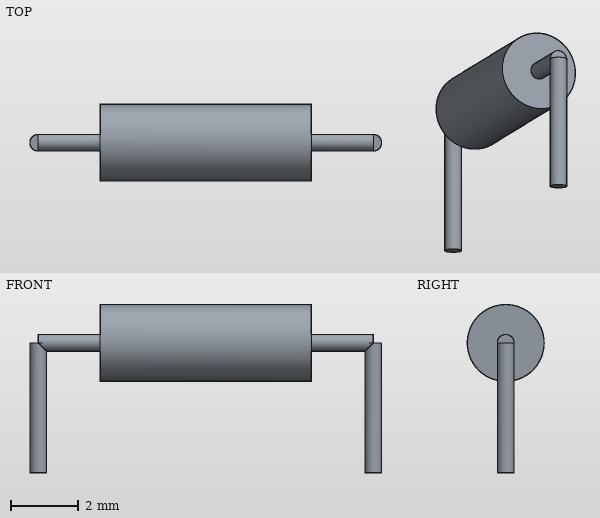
import cadquery as cq

overall_length = 10.5
overall_height = 5.03
housing_diameter = 2.3
housing_length = 6.3
wire_diameter = 0.5

leg_offset = (overall_length - wire_diameter) / 2
leg_length = overall_height - housing_diameter / 2
housing_end = housing_length / 2
lead_length = leg_offset - housing_end


def make_housing():
    """Cylindrical housing along X."""
    return (
        cq.Workplane("YZ")
        .workplane(offset=-housing_end)
        .circle(housing_diameter / 2)
        .extrude(housing_length)
    )


def make_leg(side):
    """Vertical wire whose flat top lies at the height of the housing axis."""
    return (
        cq.Workplane("XY")
        .center(side * leg_offset, 0)
        .circle(wire_diameter / 2)
        .extrude(-leg_length)
    )


def make_lead(side, leg):
    """Horizontal wire from the housing end to the leg axis, notched to seat on the leg."""
    wire = (
        cq.Workplane("YZ")
        .workplane(offset=side * housing_end)
        .circle(wire_diameter / 2)
        .extrude(side * lead_length)
    )
    return wire.cut(leg)


housing = make_housing()
legs = []
leads = []
for side in (-1, 1):
    leg = make_leg(side)
    legs.append(leg.val())
    leads.append(make_lead(side, leg).solids().val())

result = cq.Compound.makeCompound([housing.val(), *leads, *legs])